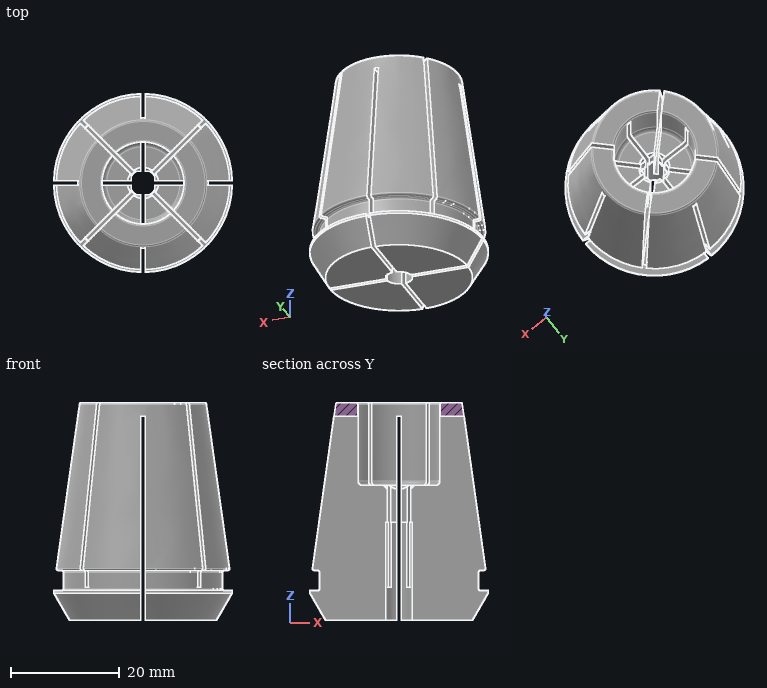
import cadquery as cq
import math


height = 40.0
flange_bottom = 5.05
flange_top = 5.5
groove_top = 9.15

flange_radius = 16.4
groove_radius = 14.65
taper_radius = 15.95
nose_angle = 30.0
taper_angle = 8.0
taper_round = 0.4
top_round = 0.3
groove_round = 0.3

rear_bore_radius = 7.5
rear_bore_floor = 24.8
rear_bore_round = 0.8
shank_radius = 2.5
shank_depth = 18.0
square_side = 4.25
countersink_radius = 2.85

slot_width = 0.8
nose_slot_top = 37.5
rear_slot_floor = 6.1
slot_length = 3 * flange_radius

tolerance = 0.05

nose_radius = flange_radius - flange_bottom * math.tan(math.radians(nose_angle))
top_radius = taper_radius - (height - groove_top) * math.tan(math.radians(taper_angle))


def within_radius(radius, z):
    """Selector for level edges that lie wholly inside a radius at height z."""
    return cq.selectors.BoxSelector(
        (-radius, -radius, z - tolerance), (radius, radius, z + tolerance), boundingbox=True
    )


def on_circle(radius, z):
    """Selector for the circular edge of a given radius and height."""
    return within_radius(radius + tolerance, z) - within_radius(radius - tolerance, z)


def make_body():
    """Revolved outside: conical nose, flange, groove and long taper."""
    profile = [
        (0, 0),
        (nose_radius, 0),
        (flange_radius, flange_bottom),
        (flange_radius, flange_top),
        (groove_radius, flange_top),
        (groove_radius, groove_top),
        (taper_radius, groove_top),
        (top_radius, height),
        (0, height),
    ]
    body = cq.Workplane("XZ").polyline(profile).close().revolve(360, (0, 0), (0, 1))
    body = body.edges(on_circle(groove_radius, flange_top)).fillet(groove_round)
    body = body.edges(on_circle(groove_radius, groove_top)).fillet(groove_round)
    return body.edges(on_circle(taper_radius, groove_top)).fillet(taper_round)


def make_rear_bore():
    """Wide bore from the top, with a rounded floor corner."""
    depth = height - rear_bore_floor
    bore = cq.Workplane("XY", origin=(0, 0, rear_bore_floor)).circle(rear_bore_radius).extrude(depth)
    return bore.faces("<Z").edges().fillet(rear_bore_round)


def make_shank_hole():
    """Round shank hole from the nose, square drive above it, countersunk at the bore floor."""
    shank = cq.Workplane("XY").circle(shank_radius).extrude(shank_depth)
    square = cq.Workplane("XY").rect(square_side, square_side).extrude(rear_bore_floor - shank_depth)
    square = square.translate((0, 0, shank_depth))
    square_half = square_side / 2
    sink_depth = countersink_radius - square_half
    countersink = cq.Solid.makeCone(
        square_half, countersink_radius, sink_depth, pnt=cq.Vector(0, 0, rear_bore_floor - sink_depth)
    )
    return shank.union(square).union(cq.Workplane(countersink))


def make_slot(angle, bottom, top):
    """Slab through the axis, turned about Z, that cuts two opposite slots."""
    slab = cq.Workplane("XY", origin=(0, 0, bottom)).rect(slot_length, slot_width).extrude(top - bottom)
    return slab.rotate((0, 0, 0), (0, 0, 1), angle)


result = make_body().cut(make_rear_bore())
result = result.faces(">Z").edges().fillet(top_round)
result = result.cut(make_shank_hole())

for nose_slot_angle in (0, 90):
    result = result.cut(make_slot(nose_slot_angle, 0, nose_slot_top))
    result = result.cut(make_slot(nose_slot_angle + 45, rear_slot_floor, height))